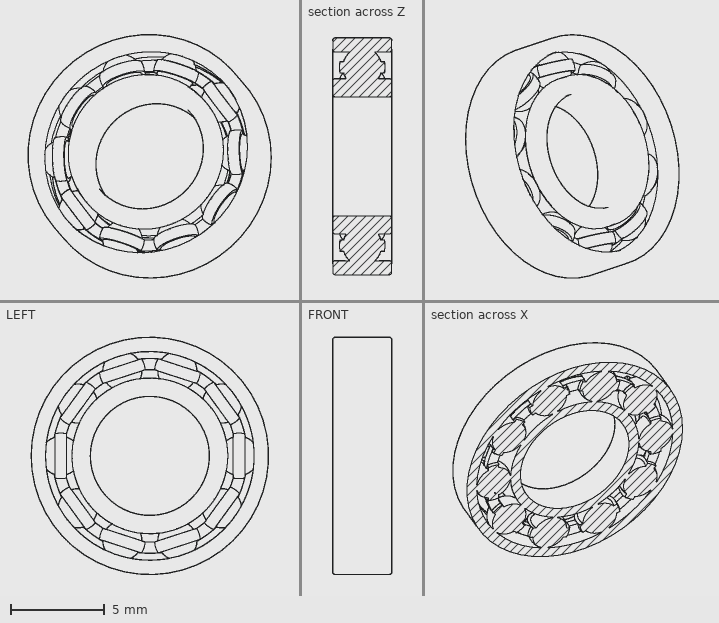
import cadquery as cq
import math

width = 3.17
outer_radius = 6.35
bore_radius = 3.17
inner_ring_outer_radius = 4.16
outer_ring_inner_radius = 5.57
edge_fillet = 0.15

ball_count = 10
ball_radius = 1.05
seat_overlap = 0.01
pitch_radius = (bore_radius + outer_radius) / 2
race_radius = ball_radius - seat_overlap

cup_radius = 1.23
cage_depth = 0.62
link_thickness = 2 * (cup_radius - ball_radius)
cup_inner_plane = pitch_radius - cage_depth / 2
cup_outer_plane = pitch_radius + cage_depth / 2
cup_rim_radius = math.sqrt(cup_radius**2 - (cage_depth / 2) ** 2)
link_inner_radius = math.hypot(cup_inner_plane, cup_rim_radius)
link_outer_radius = math.hypot(cup_outer_plane, cup_rim_radius)


def tube(inside_radius, outside_radius, length):
    """Tube along X, centred on the origin."""
    start_face = cq.Workplane("YZ", origin=(-length / 2, 0, 0))
    return start_face.circle(outside_radius).circle(inside_radius).extrude(length)


def around_axis(shape):
    """Copies of a shape at every ball position around X."""
    step = 360 / ball_count
    return [shape.rotate((0, 0, 0), (1, 0, 0), i * step) for i in range(ball_count)]


def bearing_rings():
    """Inner and outer rings with rounded edges and a raceway groove in each."""
    inner_ring = tube(bore_radius, inner_ring_outer_radius, width).edges().fillet(edge_fillet)
    outer_ring = tube(outer_ring_inner_radius, outer_radius, width).edges().fillet(edge_fillet)
    raceway = cq.Workplane(cq.Solid.makeTorus(pitch_radius, race_radius, dir=cq.Vector(1, 0, 0)))
    return inner_ring.cut(raceway), outer_ring.cut(raceway)


def ball_in_cup():
    """One ball on the +Y side together with its trimmed cage cup."""
    center = (0, pitch_radius, 0)
    ball = cq.Workplane("XY").sphere(ball_radius).translate(center)
    trim = cq.Workplane("XY").box(2 * cup_radius, cage_depth, 2 * cup_radius)
    cup = cq.Workplane("XY").sphere(cup_radius).intersect(trim).translate(center)
    return ball.union(cup)


inner_ring, outer_ring = bearing_rings()
result = tube(link_inner_radius, link_outer_radius, link_thickness)
for filled_cup in around_axis(ball_in_cup()):
    result = result.union(filled_cup)
result = result.union(inner_ring).union(outer_ring)